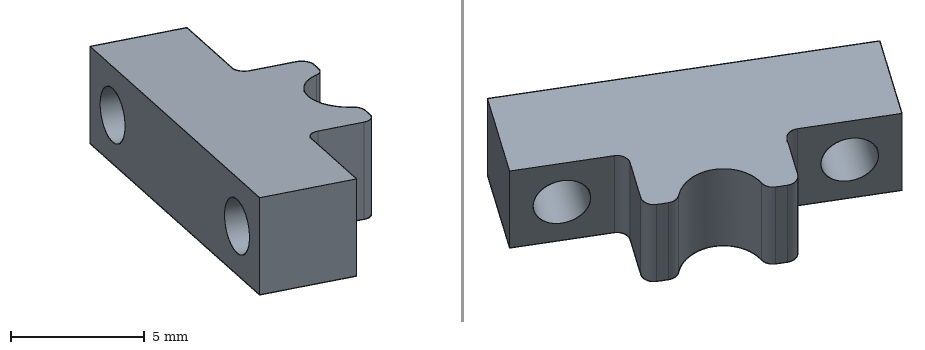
import cadquery as cq

bar_length = 15.0
bar_depth = 4.0
height = 4.0

tab_width = 6.0
tab_depth = 2.9
edge_radius = 0.5

saddle_radius = 1.7
saddle_depth = 1.4

hole_diameter = 2.2
hole_end_distance = 2.0
hole_spacing = bar_length - 2 * hole_end_distance

tab_end = bar_depth + tab_depth
saddle_center_y = tab_end - saddle_depth + saddle_radius


def make_bar():
    """Rectangular bar, centred in X, front face at Y = 0."""
    return cq.Workplane("XY").box(bar_length, bar_depth, height, centered=(True, False, False))


def make_tab():
    """Rectangular tab that overlaps the bar over its full depth."""
    return cq.Workplane("XY").box(tab_width, tab_end, height, centered=(True, False, False))


def make_saddle_cutter():
    """Upright cylinder that hollows the end of the tab."""
    return cq.Workplane("XY").center(0, saddle_center_y).circle(saddle_radius).extrude(height)


def round_upright_edges(body):
    """Round the tab root, the tab corners and the saddle lips."""
    margin = edge_radius
    tab_region = cq.selectors.BoxSelector(
        (-tab_width / 2 - margin, bar_depth - margin, -margin),
        (tab_width / 2 + margin, tab_end + margin, height + margin),
    )
    return body.edges("|Z").edges(tab_region).fillet(edge_radius)


def make_hole_cutters():
    """Two round holes running along Y through the bar."""
    return (
        cq.Workplane("XZ", origin=(0, 0, height / 2))
        .rarray(hole_spacing, 1, 2, 1)
        .circle(hole_diameter / 2)
        .extrude(-bar_depth)
    )


body = make_bar().union(make_tab()).cut(make_saddle_cutter())
body = round_upright_edges(body)
result = body.cut(make_hole_cutters())